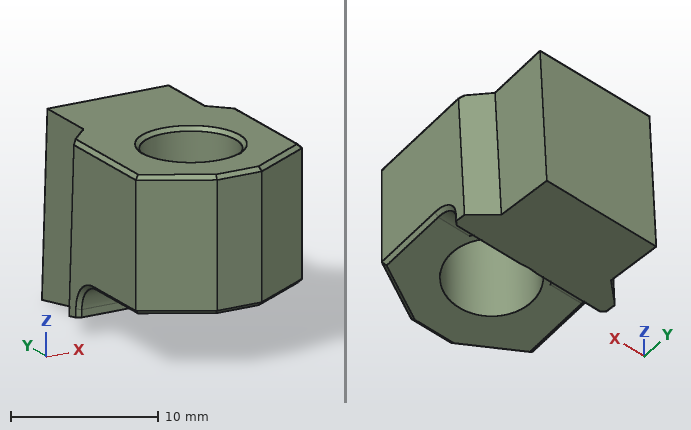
import cadquery as cq
import math

length = 18.5
width = 13.1
height = 14.0
half_width = width / 2
front_y = -half_width
back_y = front_y + length
edge_chamfer = 0.3

nose_flat_half = 1.75
nose_corner_y = front_y + (half_width - nose_flat_half) * math.tan(math.radians(30))

lean = math.radians(3)
underside_slope = math.radians(10)
tail_half_width = 4.77
shoulder_y = 6.33
shoulder_run = half_width - tail_half_width

body_height = 10.0
step_y = 4.0
step_radius = 2.0
step_bottom_z = -height + (back_y - step_y) * math.tan(underside_slope)

bore_radius = 3.52
relief_radius = 4.05

overshoot = 1.85


def make_block():
    """Side profile extruded over the full width."""
    corner_offset = step_radius * (1 - math.sqrt(0.5))
    return (
        cq.Workplane("YZ")
        .moveTo(front_y, 0)
        .lineTo(back_y - height * math.tan(lean), 0)
        .lineTo(back_y, -height)
        .lineTo(step_y, step_bottom_z)
        .lineTo(step_y, -body_height - step_radius)
        .threePointArc(
            (step_y - corner_offset, -body_height - corner_offset),
            (step_y - step_radius, -body_height),
        )
        .lineTo(front_y, -body_height)
        .close()
        .extrude(half_width, both=True)
    )


def nose_cutter(side):
    """Triangular prism that slants one front corner; side is -1 or 1."""
    return (
        cq.Workplane("XY")
        .polyline([
            (side * half_width, front_y),
            (side * half_width, nose_corner_y),
            (side * nose_flat_half, front_y),
        ])
        .close()
        .extrude(-height)
    )


def shoulder_cutter(side):
    """Leaning prism that leaves one side of the tail and its 45 degree shoulder."""
    outer_x = side * (half_width + overshoot)
    lean_plane = cq.Plane(
        origin=(0, 0, 0),
        xDir=(1, 0, 0),
        normal=(0, -math.sin(lean), math.cos(lean)),
    )
    points = [
        (side * tail_half_width, back_y + overshoot),
        (side * tail_half_width, shoulder_y),
        (side * half_width, shoulder_y - shoulder_run),
        (outer_x, shoulder_y - shoulder_run - overshoot),
        (outer_x, back_y + overshoot),
    ]
    return (
        cq.Workplane(lean_plane)
        .polyline([(x, y * math.cos(lean)) for x, y in points])
        .close()
        .extrude(height + overshoot, both=True)
    )


def edges_to_chamfer(body):
    """Rim of the front body: top edges, lower edges and the step's side edges."""
    tolerance = 0.002

    def on_rim(edge):
        center = edge.Center()
        middle = edge.positionAt(0.5)
        on_top = abs(center.z) < tolerance
        on_body_bottom = abs(center.z + body_height) < tolerance
        on_side = abs(abs(middle.x) - half_width) < tolerance
        on_nose = middle.y < nose_corner_y
        on_step_wall = on_side and abs(center.y - step_y) < tolerance
        on_step_round = on_side and edge.geomType() == "CIRCLE"
        on_flat_rim = (on_top or on_body_bottom) and (on_side or on_nose)
        return on_flat_rim or on_step_wall or on_step_round

    return body.edges().filter(on_rim)


body = make_block()
for side in (-1, 1):
    body = body.cut(nose_cutter(side)).cut(shoulder_cutter(side))
body = edges_to_chamfer(body).chamfer(edge_chamfer)

bore = cq.Workplane("XY").circle(bore_radius).extrude(-height)
body = body.cut(bore)
body = body.faces(">Z").edges("%CIRCLE").chamfer(edge_chamfer)

relief = (
    cq.Workplane("XY")
    .workplane(offset=-body_height)
    .circle(relief_radius)
    .extrude(body_height - height)
)
result = body.cut(relief)